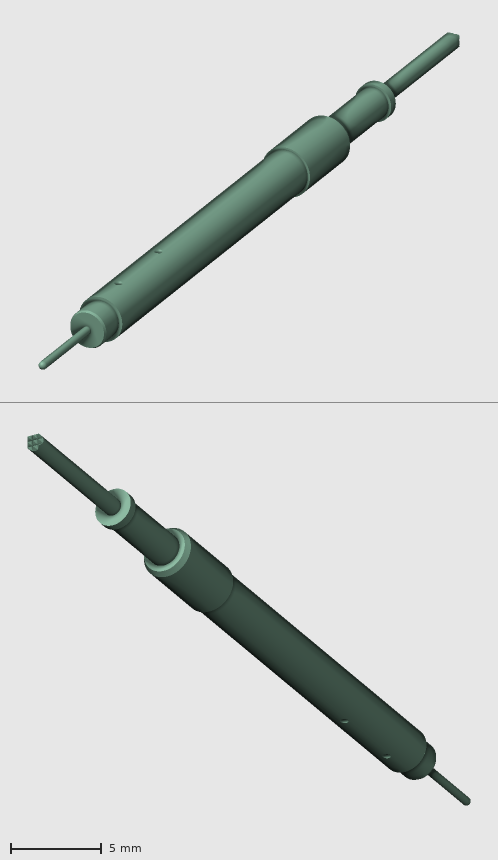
import cadquery as cq
import math

total_length = 48.8
back_end = total_length / 2
tip_end = -total_length / 2
plunger_length = 9.0
collar_length = 0.55
neck_length = 5.2
sleeve_length = 5.08
barrel_length = 21.9
nose_length = 1.6
collar_back = back_end - plunger_length
collar_front = collar_back - collar_length
sleeve_back = collar_front - neck_length
sleeve_front = sleeve_back - sleeve_length
barrel_front = sleeve_front - barrel_length
nose_front = barrel_front - nose_length

plunger_diameter = 1.02
collar_diameter = 2.25
neck_diameter = 1.9
sleeve_diameter = 3.0
barrel_diameter = 2.7
nose_diameter = 2.25
pin_diameter = 0.5

sleeve_chamfer_length = 0.35
sleeve_chamfer_depth = 0.2
nose_chamfer_length = 0.15
nose_chamfer_depth = 0.075

crown_points_per_side = 3
crown_depth = 0.3
crown_pitch = plunger_diameter / crown_points_per_side

dimple_diameter = 0.5
dimple_depth = 0.15
front_dimple_offset = 2.1
dimple_spacing = 4.75


def turned_body():
    """Revolve the stepped profile about the Y axis."""
    plunger_radius = plunger_diameter / 2
    collar_radius = collar_diameter / 2
    neck_radius = neck_diameter / 2
    sleeve_radius = sleeve_diameter / 2
    barrel_radius = barrel_diameter / 2
    nose_radius = nose_diameter / 2
    pin_radius = pin_diameter / 2
    stepped_outline = [
        (0, back_end),
        (plunger_radius, back_end),
        (plunger_radius, collar_back),
        (collar_radius, collar_back),
        (collar_radius, collar_front),
        (neck_radius, collar_front),
        (neck_radius, sleeve_back),
        (sleeve_radius - sleeve_chamfer_depth, sleeve_back),
        (sleeve_radius, sleeve_back - sleeve_chamfer_length),
        (sleeve_radius, sleeve_front),
        (barrel_radius, sleeve_front),
        (barrel_radius, barrel_front),
        (nose_radius, barrel_front),
        (nose_radius, nose_front + nose_chamfer_length),
        (nose_radius - nose_chamfer_depth, nose_front),
        (pin_radius, nose_front),
        (pin_radius, tip_end + pin_radius),
    ]
    dome_middle = pin_radius * math.sqrt(0.5)
    profile = (
        cq.Workplane("XY")
        .polyline(stepped_outline)
        .threePointArc((dome_middle, tip_end + pin_radius - dome_middle), (0, tip_end))
        .close()
    )
    return profile.revolve(360, (0, 0, 0), (0, 1, 0))


def crown_groove(offset):
    """V groove across the plunger end, running along Z at the given X offset."""
    outline = [
        (offset - crown_pitch / 2, back_end),
        (offset, back_end - crown_depth),
        (offset + crown_pitch / 2, back_end),
    ]
    return cq.Workplane("XY").polyline(outline).close().extrude(plunger_diameter, both=True)


def dimple(y):
    """Ball that leaves a round-bottomed dimple where it sinks into the top of the barrel."""
    ball_radius = ((dimple_diameter / 2) ** 2 + dimple_depth ** 2) / (2 * dimple_depth)
    center_height = barrel_diameter / 2 - dimple_depth + ball_radius
    return cq.Workplane("XY").sphere(ball_radius).translate((0, y, center_height))


result = turned_body()

for index in range(crown_points_per_side + 1):
    groove = crown_groove((index - crown_points_per_side / 2) * crown_pitch)
    result = result.cut(groove)
    result = result.cut(groove.rotate((0, 0, 0), (0, 1, 0), 90))

front_dimple_y = barrel_front + front_dimple_offset
for dimple_y in (front_dimple_y, front_dimple_y + dimple_spacing):
    top_dimple = dimple(dimple_y)
    result = result.cut(top_dimple)
    result = result.cut(top_dimple.mirror("XY"))